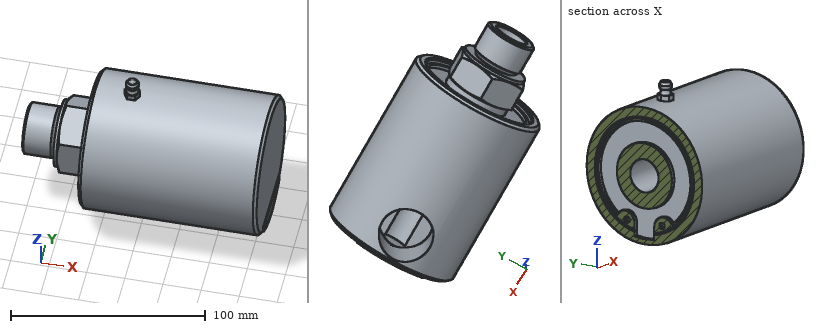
import cadquery as cq
import math

OVERALL_LENGTH = 128.3
OVERALL_HEIGHT = 83.0

BODY_START = 34.3
MARKING_PAD_HEIGHT = 0.4
BODY_END = OVERALL_LENGTH - MARKING_PAD_HEIGHT
BODY_RADIUS = 73.0 / 2
BODY_CHAMFER = 1.7
BODY_FACE_RADIUS = BODY_RADIUS - BODY_CHAMFER

RECESS_RADIUS = 62.1 / 2
RECESS_DEPTH = 4.1
RECESS_CHAMFER = 0.8

RING_SETBACK = 2.2
RING_FRONT = BODY_START + RING_SETBACK
RING_BACK = BODY_START + RECESS_DEPTH
RING_THICKNESS = RING_BACK - RING_FRONT
RING_GROOVE_RADIUS = 67.0 / 2
RING_INNER_RADIUS = 28.7
RING_CHAMFER = 0.8
LUG_RADIUS = 6.0
LUG_Y = 12.0
LUG_Z = -26.2
LUG_HOLE_DIAMETER = 3.1
LUG_HOLE_Y = 11.0
LUG_HOLE_Z = -24.9
RING_GAP_HALF_WIDTH = LUG_Y - LUG_RADIUS

THREAD_RADIUS = 27.0 / 2
THREAD_END = 15.0
THREAD_CHAMFER_LENGTH = 0.9
THREAD_CHAMFER_DEPTH = 1.2
NECK_RADIUS = 23.3 / 2
THREAD_RUNOUT = 0.8
NECK_END = 17.5
WASHER_RADIUS = 35.0 / 2
HEX_START = 19.1
HEX_END = BODY_START
HEX_ACROSS_FLATS = 35.9
HEX_CHAMFER_ANGLE = 25.0
HEX_TURN = 30.0
SHAFT_RADIUS = 34.9 / 2

BORE_RADIUS = 17.5 / 2
BORE_CHAMFER = 0.5
PORT_X = 111.2
PORT_RADIUS = 28.0 / 2
PORT_TOP_Z = -6.4
BORE_END_CLEARANCE = 0.5
BORE_END = PORT_X + PORT_RADIUS + BORE_END_CLEARANCE

PAD_TOP_Z = -26.3
PAD_HALF_WIDTH = 19.2

NIPPLE_X = 55.2
NIPPLE_HEX_ACROSS_FLATS = 7.0
NIPPLE_HEX_TOP = 39.4
NIPPLE_ROOT_DEPTH = 1.9
NIPPLE_ROOT = BODY_RADIUS - NIPPLE_ROOT_DEPTH
NIPPLE_WAIST_RADIUS = 2.6
NIPPLE_NECK_RADIUS = 2.7
NIPPLE_BASE_RADIUS = 3.2
NIPPLE_WAIST = 40.9
NIPPLE_NECK_END = 42.2
NIPPLE_HEAD_RADIUS = 3.3
NIPPLE_HEAD_BULGE = 43.5
NIPPLE_HEAD_MIDDLE = 44.5
NIPPLE_TOP = 46.2
NIPPLE_TIP_RADIUS = 2.3
NIPPLE_BALL_RADIUS = 1.0
NIPPLE_BALL_TOP = OVERALL_HEIGHT - BODY_RADIUS


def revolve_about_x(outline):
    """Revolve an (X, radius) sketch about the rotation axis."""
    return outline.close().revolve(360, (0, 0, 0), (1, 0, 0))


def disc(start, end, radius):
    """Cylinder along X between two X positions."""
    return cq.Workplane("YZ", origin=(start, 0, 0)).circle(radius).extrude(end - start)


def hexagon_diameter(across_flats):
    """Diameter across the corners of a regular hexagon."""
    return across_flats / math.cos(math.pi / 6)


def housing():
    body = disc(BODY_START, BODY_END, BODY_RADIUS).edges().chamfer(BODY_CHAMFER)
    recess = disc(BODY_START, BODY_START + RECESS_DEPTH, RECESS_RADIUS)
    mouth_chamfer = revolve_about_x(
        cq.Workplane("XY")
        .moveTo(BODY_START, 0)
        .lineTo(BODY_START, RECESS_RADIUS + RECESS_CHAMFER)
        .lineTo(BODY_START + RECESS_CHAMFER, RECESS_RADIUS)
        .lineTo(BODY_START + RECESS_CHAMFER, 0)
    )
    return body.cut(recess).cut(mouth_chamfer).cut(ring_gap())


def ring_gap():
    """Space between the two lugs, down to the bottom of the ring groove."""
    limits = (
        cq.Workplane("YZ", origin=(RING_FRONT, 0, -RING_GROOVE_RADIUS / 2))
        .rect(2 * RING_GAP_HALF_WIDTH, RING_GROOVE_RADIUS)
        .extrude(RING_THICKNESS)
    )
    return disc(RING_FRONT, RING_BACK, RING_GROOVE_RADIUS).intersect(limits)


def retaining_ring():
    plane = cq.Workplane("YZ", origin=(RING_FRONT, 0, 0))
    lug_height = RECESS_RADIUS + LUG_Z
    ring = plane.circle(RECESS_RADIUS).circle(RING_INNER_RADIUS).extrude(RING_THICKNESS)
    ring = ring.cut(ring_gap())
    for side in (-1, 1):
        eye = plane.center(side * LUG_Y, LUG_Z).circle(LUG_RADIUS).extrude(RING_THICKNESS)
        foot = (
            plane.center(side * LUG_Y, LUG_Z - lug_height / 2)
            .rect(2 * LUG_RADIUS, lug_height)
            .extrude(RING_THICKNESS)
        )
        hole = plane.center(side * LUG_HOLE_Y, LUG_HOLE_Z).circle(LUG_HOLE_DIAMETER / 2)
        ring = ring.union(eye).union(foot).cut(hole.extrude(RING_THICKNESS))
    envelope = disc(RING_FRONT, RING_BACK, RECESS_RADIUS).faces("<X").chamfer(RING_CHAMFER)
    return ring.intersect(envelope)


def rotor():
    profile = (
        cq.Workplane("XY")
        .lineTo(0, THREAD_RADIUS - THREAD_CHAMFER_DEPTH)
        .lineTo(THREAD_CHAMFER_LENGTH, THREAD_RADIUS)
        .lineTo(THREAD_END, THREAD_RADIUS)
        .lineTo(THREAD_END + THREAD_RUNOUT, THREAD_RADIUS - THREAD_RUNOUT)
        .lineTo(NECK_END, NECK_RADIUS)
        .lineTo(NECK_END, WASHER_RADIUS)
        .lineTo(HEX_START, WASHER_RADIUS)
        .lineTo(HEX_START, SHAFT_RADIUS)
        .lineTo(BODY_START + RECESS_DEPTH, SHAFT_RADIUS)
        .lineTo(BODY_START + RECESS_DEPTH, 0)
    )
    return revolve_about_x(profile).union(hexagon())


def hexagon():
    corner_diameter = hexagon_diameter(HEX_ACROSS_FLATS)
    corner_radius = corner_diameter / 2
    prism = (
        cq.Workplane("YZ", origin=(HEX_START, 0, 0))
        .polygon(6, corner_diameter)
        .extrude(HEX_END - HEX_START)
        .rotate((0, 0, 0), (1, 0, 0), HEX_TURN)
    )
    chamfer_length = (corner_radius - WASHER_RADIUS) * math.tan(math.radians(HEX_CHAMFER_ANGLE))
    envelope = revolve_about_x(
        cq.Workplane("XY")
        .moveTo(HEX_START, 0)
        .lineTo(HEX_START, WASHER_RADIUS)
        .lineTo(HEX_START + chamfer_length, corner_radius)
        .lineTo(HEX_END - chamfer_length, corner_radius)
        .lineTo(HEX_END, WASHER_RADIUS)
        .lineTo(HEX_END, 0)
    )
    return prism.intersect(envelope)


def marking_pad():
    pad_height = BODY_FACE_RADIUS + PAD_TOP_Z
    limits = cq.Workplane("XY").box(
        MARKING_PAD_HEIGHT, 2 * PAD_HALF_WIDTH, pad_height, centered=(False, True, False)
    )
    limits = limits.translate((BODY_END, 0, -BODY_FACE_RADIUS))
    return disc(BODY_END, OVERALL_LENGTH, BODY_FACE_RADIUS).intersect(limits)


def grease_nipple():
    base = (
        cq.Workplane("XY", origin=(NIPPLE_X, 0, NIPPLE_ROOT))
        .polygon(6, hexagon_diameter(NIPPLE_HEX_ACROSS_FLATS))
        .extrude(NIPPLE_HEX_TOP - NIPPLE_ROOT)
    )
    head = (
        cq.Workplane("XZ", origin=(NIPPLE_X, 0, 0))
        .moveTo(0, NIPPLE_ROOT)
        .lineTo(NIPPLE_BASE_RADIUS, NIPPLE_ROOT)
        .lineTo(NIPPLE_BASE_RADIUS, NIPPLE_HEX_TOP)
        .threePointArc((NIPPLE_WAIST_RADIUS, NIPPLE_WAIST), (NIPPLE_NECK_RADIUS, NIPPLE_NECK_END))
        .threePointArc((NIPPLE_HEAD_RADIUS, NIPPLE_HEAD_BULGE), (NIPPLE_HEAD_RADIUS, NIPPLE_HEAD_MIDDLE))
        .lineTo(NIPPLE_TIP_RADIUS, NIPPLE_TOP)
        .lineTo(NIPPLE_BALL_RADIUS, NIPPLE_TOP)
        .lineTo(0, NIPPLE_BALL_TOP)
        .close()
        .revolve(360, (0, 0, 0), (0, 1, 0))
    )
    return base.union(head)


def flow_passage():
    bore = disc(0, BORE_END, BORE_RADIUS)
    mouth_chamfer = revolve_about_x(
        cq.Workplane("XY")
        .lineTo(0, BORE_RADIUS + BORE_CHAMFER)
        .lineTo(BORE_CHAMFER, BORE_RADIUS)
        .lineTo(BORE_CHAMFER, 0)
    )
    port = (
        cq.Workplane("XY", origin=(PORT_X, 0, -BODY_RADIUS))
        .circle(PORT_RADIUS)
        .extrude(BODY_RADIUS + PORT_TOP_Z)
    )
    return bore.union(mouth_chamfer).union(port)


result = (
    housing()
    .union(retaining_ring())
    .union(rotor())
    .union(marking_pad())
    .union(grease_nipple())
    .cut(flow_passage())
)